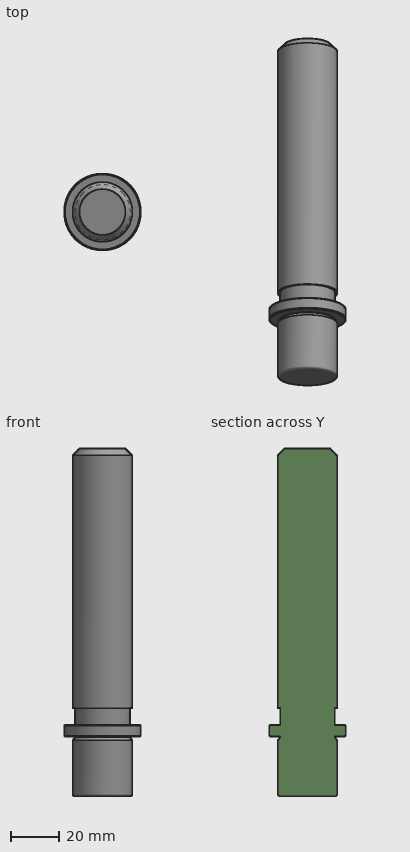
import cadquery as cq

total_length = 145.0
flange_bottom = 25.0
flange_thickness = 5.0
relief_height = 1.6
relief_land = 0.3
neck_height = 7.0

pin_diameter = 25.0
flange_diameter = 32.0
neck_diameter = 23.0

tip_chamfer = 2.9
bottom_fillet = 1.0
flange_chamfer = 0.5

pin_radius = pin_diameter / 2
flange_radius = flange_diameter / 2
neck_radius = neck_diameter / 2
flange_top = flange_bottom + flange_thickness
neck_top = flange_top + neck_height
relief_bottom = flange_bottom - relief_height

profile = [
    (0, 0),
    (pin_radius, 0),
    (pin_radius, relief_bottom),
    (neck_radius, flange_bottom - relief_land),
    (neck_radius, flange_bottom),
    (flange_radius - flange_chamfer, flange_bottom),
    (flange_radius, flange_bottom + flange_chamfer),
    (flange_radius, flange_top - flange_chamfer),
    (flange_radius - flange_chamfer, flange_top),
    (neck_radius, flange_top),
    (neck_radius, neck_top),
    (pin_radius, neck_top),
    (pin_radius, total_length - tip_chamfer),
    (pin_radius - tip_chamfer, total_length),
    (0, total_length),
]

pin = cq.Workplane("XZ").polyline(profile).close().revolve(360, (0, 0), (0, 1))
result = pin.faces("<Z").edges().fillet(bottom_fillet)